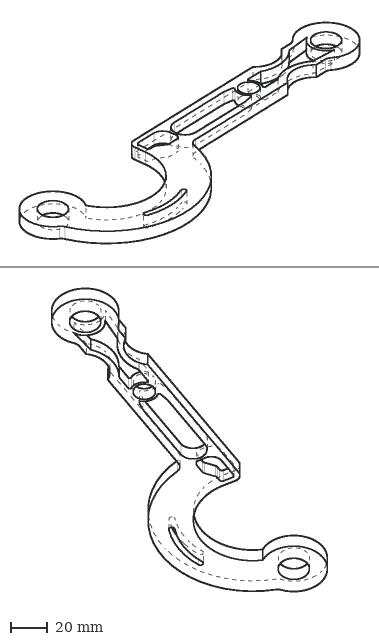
import cadquery as cq
import math

thickness = 8.0
eye_radius = 18.5
bore_radius = 8.5
eye_pitch = 267 - 2 * eye_radius

hook_y = 45.0
hook_inner_radius = 32.5
hook_outer_radius = 57.5
blend_radius = 5.0

arm_half_width = 12.5
arm_bottom_y = hook_y + hook_inner_radius
arm_corner_radius = blend_radius

waist_y = 195.1
notch_half_length = 12.0
neck_half_width = 6.7

small_hole_y = 165.0
small_hole_radius = 6.1
small_rim_radius = 7.7
rim_corner_fillet = 0.8

eye_rim_radius = 11.0
pocket_top_half_width = 10.0
pocket_shoulder = (8.5, 209.0)
pocket_waist_half_width = 3.0
pocket_foot = (6.1, 182.0)

long_half_width = 7.7
long_bottom_y = 103.5
long_taper_y = 153.0
long_top_half_width = 6.5

foot_left = -9.0
foot_right = 4.5
foot_bottom = 81.0
foot_top = 102.0
foot_step_x = -0.3
foot_step_low_y = 85.7
foot_step_high_y = 92.0
foot_large_fillet = 6.5
foot_top_fillet = 3.0
foot_small_fillet = 1.5
foot_step_fillet = 2.5

slot_radius = (hook_inner_radius + hook_outer_radius) / 2
slot_width = 3.2
slot_half_height = 17.4


def disc(x, y, radius):
    return cq.Workplane("XY").center(x, y).circle(radius).extrude(thickness)


def point_on_rim(x, center_y, radius, side):
    """Point at x on a rim centred on the arm axis; side is +1 above, -1 below."""
    return (x, center_y + side * math.sqrt(radius**2 - x**2))


def make_hook():
    ring = disc(0, hook_y, hook_outer_radius).cut(disc(0, hook_y, hook_inner_radius))
    right_half = cq.Workplane("XY").box(
        hook_outer_radius, 2 * hook_outer_radius, thickness, centered=(False, True, False)
    ).translate((0, hook_y, 0))
    return ring.intersect(right_half)


def make_arm():
    length = eye_pitch - arm_bottom_y
    arm = cq.Workplane("XY").box(
        2 * arm_half_width, length, thickness, centered=(True, False, False)
    ).translate((0, arm_bottom_y, 0))
    arm = arm.edges("|Z and <X and <Y").fillet(arm_corner_radius)
    return arm


def make_notch(side):
    depth = arm_half_width - neck_half_width
    radius = (notch_half_length**2 + depth**2) / (2 * depth)
    return disc(side * (neck_half_width + radius), waist_y, radius)


def blend_corner(body, corner, radius):
    """Round the vertical edge at the given corner."""
    x, y = corner
    reach = 0.3
    selector = cq.selectors.BoxSelector(
        (x - reach, y - reach, -reach), (x + reach, y + reach, thickness + reach)
    )
    return body.edges("|Z").edges(selector).fillet(radius)


def make_waisted_pocket():
    shoulder_x, shoulder_y = pocket_shoulder
    foot_x, foot_y = pocket_foot
    top_x, top_y = point_on_rim(pocket_top_half_width, eye_pitch, eye_rim_radius, -1)
    low_x, low_y = point_on_rim(foot_x, small_hole_y, small_rim_radius, 1)
    return (
        cq.Workplane("XY")
        .moveTo(-top_x, top_y)
        .lineTo(-shoulder_x, shoulder_y)
        .threePointArc((-pocket_waist_half_width, waist_y), (-foot_x, foot_y))
        .lineTo(-low_x, low_y)
        .threePointArc((0, small_hole_y + small_rim_radius), (low_x, low_y))
        .lineTo(foot_x, foot_y)
        .threePointArc((pocket_waist_half_width, waist_y), (shoulder_x, shoulder_y))
        .lineTo(top_x, top_y)
        .threePointArc((0, eye_pitch - eye_rim_radius), (-top_x, top_y))
        .close()
        .extrude(thickness)
        .edges("|Z and <Y")
        .fillet(rim_corner_fillet)
    )


def make_long_pocket():
    top_x, top_y = point_on_rim(long_top_half_width, small_hole_y, small_rim_radius, -1)
    end_y = long_bottom_y + long_half_width
    return (
        cq.Workplane("XY")
        .moveTo(-top_x, top_y)
        .lineTo(-long_half_width, long_taper_y)
        .lineTo(-long_half_width, end_y)
        .threePointArc((0, long_bottom_y), (long_half_width, end_y))
        .lineTo(long_half_width, long_taper_y)
        .lineTo(top_x, top_y)
        .threePointArc((0, small_hole_y - small_rim_radius), (-top_x, top_y))
        .close()
        .extrude(thickness)
        .edges("|Z and >Y")
        .fillet(rim_corner_fillet)
    )


def make_foot_pocket():
    outline = [
        (foot_left, foot_bottom),
        (foot_step_x, foot_bottom),
        (foot_step_x, foot_step_low_y),
        (foot_right, foot_step_high_y),
        (foot_right, foot_top),
        (foot_left, foot_top),
    ]
    pocket = cq.Workplane("XY").polyline(outline).close().extrude(thickness)
    pocket = pocket.edges("|Z and <X and >Y").fillet(foot_large_fillet)
    pocket = pocket.edges("|Z and >X and >Y").fillet(foot_top_fillet)
    for corner in ((foot_step_x, foot_step_low_y), (foot_right, foot_step_high_y)):
        pocket = blend_corner(pocket, corner, foot_step_fillet)
    return pocket.edges("|Z and <Y").fillet(foot_small_fillet)


def make_curved_slot():
    inner = slot_radius - slot_width / 2
    outer = slot_radius + slot_width / 2
    cap = slot_width / 2
    angle = math.asin((slot_half_height - cap) / slot_radius)

    def polar(radius, theta):
        return (radius * math.cos(theta), hook_y + radius * math.sin(theta))

    cap_angle = angle + cap / slot_radius
    return (
        cq.Workplane("XY")
        .moveTo(*polar(inner, -angle))
        .threePointArc(polar(inner, 0), polar(inner, angle))
        .threePointArc(polar(slot_radius, cap_angle), polar(outer, angle))
        .threePointArc(polar(outer, 0), polar(outer, -angle))
        .threePointArc(polar(slot_radius, -cap_angle), polar(inner, -angle))
        .close()
        .extrude(thickness)
    )


body = make_arm().union(make_hook())
for eye_y in (0, eye_pitch):
    body = body.union(disc(0, eye_y, eye_radius))

arm_corner = point_on_rim(arm_half_width, hook_y, hook_outer_radius, 1)
eye_corner_y = (hook_y**2 + eye_radius**2 - hook_outer_radius**2) / (2 * hook_y)
eye_corner = (math.sqrt(eye_radius**2 - eye_corner_y**2), eye_corner_y)
body = blend_corner(body, arm_corner, blend_radius)
body = blend_corner(body, eye_corner, blend_radius)

for side in (-1, 1):
    neck_corner = point_on_rim(side * arm_half_width, eye_pitch, eye_radius, -1)
    body = blend_corner(body, neck_corner, blend_radius)

for side in (-1, 1):
    body = body.cut(make_notch(side))

for eye_y in (0, eye_pitch):
    body = body.cut(disc(0, eye_y, bore_radius))
body = body.cut(disc(0, small_hole_y, small_hole_radius))
body = body.cut(make_waisted_pocket())
body = body.cut(make_long_pocket())
body = body.cut(make_foot_pocket())
body = body.cut(make_curved_slot())

result = body